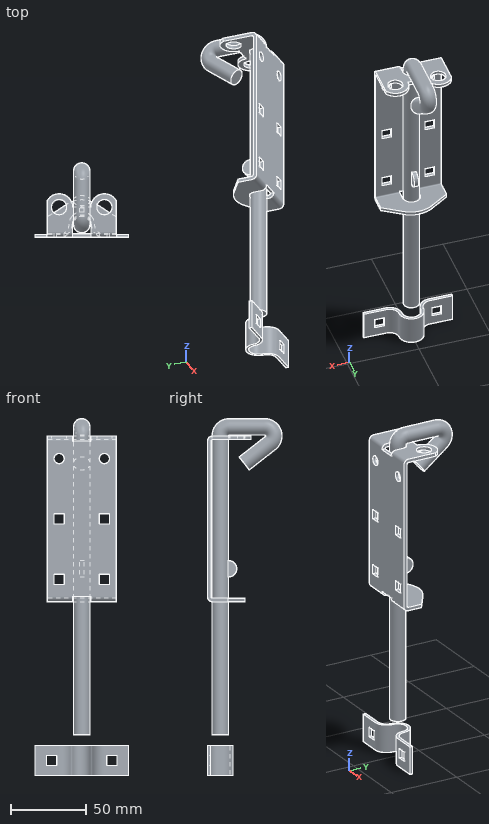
import cadquery as cq
import math


rod_diameter = 11.0
rod_radius = rod_diameter / 2
rod_axis_y = 8.5
bend_radius = 6.0
rod_bottom_z = 27.0
hook_run = 23.5
hook_bend_angle = 142.0
hook_tip_length = 22.0
stop_diameter = 11.0
stop_thickness = 3.0
stop_height = 22.0

bracket_width = 46.0
bracket_height = 110.0
bracket_thickness = 2.5
bracket_bend_inner = 1.0
bracket_bend_outer = bracket_bend_inner + bracket_thickness
bracket_bottom_z = 115.0
bracket_top_z = bracket_bottom_z + bracket_height
slot_width = 12.0

ear_center_x = 15.0
ear_center_y = 20.0
ear_radius = ear_center_x - slot_width / 2
ear_hole_diameter = 10.0

lower_depth = 25.0
lower_side_depth = 13.5
lower_tip_radius = 18.0

fixing_spacing_x = 30.0
fixing_spacing_z = 40.0
fixing_edge_distance = 15.0
fixing_size = 6.6

strap_width = 62.0
strap_height = 20.0
strap_thickness = 2.0
strap_bend_outer = 8.5
strap_bend_inner = strap_bend_outer - strap_thickness
strap_foot_end_x = strap_bend_inner + strap_bend_outer
strap_hole_spacing = 40.0


def make_rod():
    """Round bar with a right-angle bend, a level run, a hooked tip and a flat stop disc."""
    bend_z = bracket_top_z
    stop_z = bracket_bottom_z + stop_height
    run_z = bend_z + bend_radius
    run_start_y = rod_axis_y + bend_radius
    run_end_y = run_start_y + hook_run

    def on_hook_bend(turn_degrees):
        turn = math.radians(turn_degrees)
        return run_end_y + bend_radius * math.sin(turn), bend_z + bend_radius * math.cos(turn)

    hook_end_y, hook_end_z = on_hook_bend(hook_bend_angle)
    tip_direction = math.radians(hook_bend_angle)
    tip_y = hook_end_y + hook_tip_length * math.cos(tip_direction)
    tip_z = hook_end_z - hook_tip_length * math.sin(tip_direction)

    diagonal_reach = bend_radius * math.sqrt(0.5)
    path = (
        cq.Workplane("YZ")
        .moveTo(rod_axis_y, rod_bottom_z)
        .lineTo(rod_axis_y, bend_z)
        .threePointArc((run_start_y - diagonal_reach, bend_z + diagonal_reach), (run_start_y, run_z))
        .lineTo(run_end_y, run_z)
        .threePointArc(on_hook_bend(hook_bend_angle / 2), (hook_end_y, hook_end_z))
        .lineTo(tip_y, tip_z)
    )
    bar = (
        cq.Workplane("XY", origin=(0, rod_axis_y, rod_bottom_z))
        .circle(rod_radius)
        .sweep(path)
    )
    stop = (
        cq.Workplane("YZ")
        .center(rod_axis_y + rod_radius, stop_z)
        .circle(stop_diameter / 2)
        .extrude(stop_thickness / 2, both=True)
    )
    return bar.union(stop)


def make_channel():
    """Plate and both full-depth flanges, bent from one sheet."""
    depth = ear_center_y + ear_radius
    outer = (
        cq.Workplane("XY")
        .box(bracket_width, depth, bracket_height, centered=(True, False, False))
        .edges("|X and <Y")
        .fillet(bracket_bend_outer)
    )
    inner = (
        cq.Workplane("XY", origin=(0, bracket_thickness, bracket_thickness))
        .box(bracket_width, depth, bracket_height - 2 * bracket_thickness, centered=(True, False, False))
        .edges("|X and <Y")
        .fillet(bracket_bend_inner)
    )
    return outer.cut(inner).translate((0, 0, bracket_bottom_z))


def upper_trim():
    """Block that trims the upper flange: two ears rounded about their holes and a flat gap between."""
    half_width = bracket_width / 2
    side_y = ear_center_y + math.sqrt(ear_radius**2 - (half_width - ear_center_x) ** 2)
    tip_y = ear_center_y + ear_radius
    inner_x = ear_center_x - ear_radius
    return (
        cq.Workplane("XY", origin=(0, 0, bracket_bottom_z + bracket_height / 2))
        .moveTo(-half_width, 0)
        .lineTo(-half_width, side_y)
        .threePointArc((-ear_center_x, tip_y), (-inner_x, ear_center_y))
        .lineTo(inner_x, ear_center_y)
        .threePointArc((ear_center_x, tip_y), (half_width, side_y))
        .lineTo(half_width, 0)
        .close()
        .extrude(bracket_height / 2)
    )


def lower_trim():
    """Block that trims the lower flange: sloping sides running tangent into a rounded tip."""
    half_width = bracket_width / 2
    tip_center_y = lower_depth - lower_tip_radius
    rise = lower_side_depth - tip_center_y
    corner_distance = math.hypot(half_width, rise)
    tangent_angle = math.atan2(rise, half_width) + math.acos(lower_tip_radius / corner_distance)
    tangent_x = lower_tip_radius * math.cos(tangent_angle)
    tangent_y = tip_center_y + lower_tip_radius * math.sin(tangent_angle)
    return (
        cq.Workplane("XY", origin=(0, 0, bracket_bottom_z))
        .moveTo(-half_width, 0)
        .lineTo(-half_width, lower_side_depth)
        .lineTo(-tangent_x, tangent_y)
        .threePointArc((0, lower_depth), (tangent_x, tangent_y))
        .lineTo(half_width, lower_side_depth)
        .lineTo(half_width, 0)
        .close()
        .extrude(bracket_height / 2)
    )


def rod_slot(bottom_z):
    """Slot through one bend and flange, rounded about the rod axis."""
    half_slot = slot_width / 2
    return (
        cq.Workplane("XY", origin=(0, 0, bottom_z))
        .moveTo(-half_slot, 0)
        .lineTo(-half_slot, rod_axis_y)
        .threePointArc((0, rod_axis_y + half_slot), (half_slot, rod_axis_y))
        .lineTo(half_slot, 0)
        .close()
        .extrude(bracket_bend_outer)
    )


def make_bracket():
    """Bent bracket with ears, sloped lower flange, rod slots and fixing holes."""
    body = make_channel().intersect(upper_trim().union(lower_trim()))
    for slot_bottom_z in (bracket_bottom_z, bracket_top_z - bracket_bend_outer):
        body = body.cut(rod_slot(slot_bottom_z))

    ear_holes = (
        cq.Workplane("XY", origin=(0, ear_center_y, bracket_top_z - bracket_thickness))
        .pushPoints([(-ear_center_x, 0), (ear_center_x, 0)])
        .circle(ear_hole_diameter / 2)
        .extrude(bracket_thickness)
    )
    body = body.cut(ear_holes)

    round_row_z = bracket_top_z - fixing_edge_distance
    for side in (-1, 1):
        hole_x = side * fixing_spacing_x / 2
        round_hole = (
            cq.Workplane("XZ")
            .center(hole_x, round_row_z)
            .circle(fixing_size / 2)
            .extrude(-bracket_thickness)
        )
        body = body.cut(round_hole)
        for row in (1, 2):
            square_hole = (
                cq.Workplane("XZ")
                .center(hole_x, round_row_z - row * fixing_spacing_z)
                .rect(fixing_size, fixing_size)
                .extrude(-bracket_thickness)
            )
            body = body.cut(square_hole)
    return body


def make_strap():
    """Keeper strap: two flat feet curving into a half-round loop."""
    half_width = strap_width / 2
    center_y = strap_bend_outer
    diagonal = math.sqrt(0.5)
    front_x = strap_foot_end_x - strap_bend_outer * diagonal
    front_y = center_y - strap_bend_outer * diagonal
    back_x = strap_foot_end_x - strap_bend_inner * diagonal
    back_y = center_y - strap_bend_inner * diagonal
    strap = (
        cq.Workplane("XY")
        .moveTo(-half_width, 0)
        .lineTo(-strap_foot_end_x, 0)
        .threePointArc((-front_x, front_y), (-strap_bend_inner, center_y))
        .threePointArc((0, center_y + strap_bend_inner), (strap_bend_inner, center_y))
        .threePointArc((front_x, front_y), (strap_foot_end_x, 0))
        .lineTo(half_width, 0)
        .lineTo(half_width, strap_thickness)
        .lineTo(strap_foot_end_x, strap_thickness)
        .threePointArc((back_x, back_y), (strap_bend_outer, center_y))
        .threePointArc((0, center_y + strap_bend_outer), (-strap_bend_outer, center_y))
        .threePointArc((-back_x, back_y), (-strap_foot_end_x, strap_thickness))
        .lineTo(-half_width, strap_thickness)
        .close()
        .extrude(strap_height)
    )
    holes = (
        cq.Workplane("XZ")
        .center(0, strap_height / 2)
        .pushPoints([(-strap_hole_spacing / 2, 0), (strap_hole_spacing / 2, 0)])
        .rect(fixing_size, fixing_size)
        .extrude(-strap_thickness)
    )
    return strap.cut(holes)


rod = make_rod()
bracket = make_bracket()
strap = make_strap()

result = cq.Compound.makeCompound([rod.val(), bracket.val(), strap.val()])